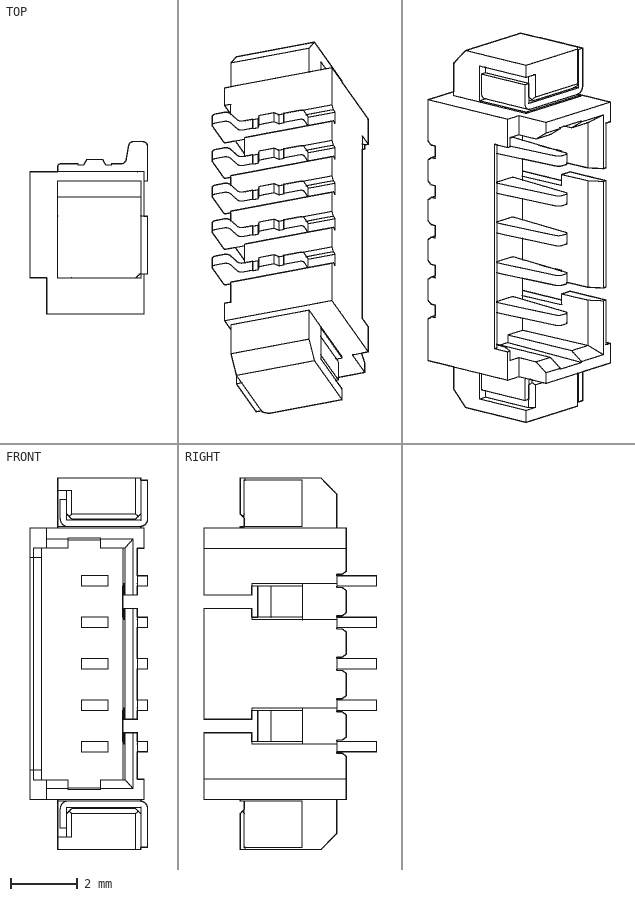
import cadquery as cq


pin_count = 5
pitch = 1.25
pin_thick = 0.32
pin_tip_y = 0.53
pin_tip_radius = 0.15
pin_taper_y = 2.70
pin_left, pin_right = 1.56, 2.36
pin_tip_left, pin_tip_right = 1.70, 2.16
tail_left, tail_right = 0.84, 3.56
tail_y, foot_y = 4.01, 5.21
tail_flat_y, tail_dip_y, tail_bump_y = 4.54, 4.505, 4.67
tail_end_radius = 0.10
bump_center = 1.96
bump_top_half, bump_base_half, dip_outer_half = 0.24, 0.335, 0.50
foot_root_x, foot_tip_x = 2.91, 3.00
foot_root_radius, foot_tip_radius = 0.15, 0.16

end_margin = 1.60
half_height = pitch * (pin_count - 1) / 2 + end_margin
back_y = 4.30
rail_right, wall_right = 3.45, 3.25
rail_z = 3.48
shelf_x, shelf_y = 0.51, 1.095
left_front_y, left_front_z = 1.62, 3.21

floor_y = 2.97
cavity_left, cavity_right_floor, cavity_right_mouth = 0.35, 2.81, 2.875
cavity_half = 3.50
lead_depth = 0.40
lead_right, lead_half = 3.12, 3.765
lip_thick = 0.11
lip_depth = 0.4
key_left, key_right = 1.16, 2.13
key_half_mouth, key_half_floor = 3.795, 3.74

window_z = 1.5 * pitch
slot_width, pocket_width = 0.40, 1.08
pocket_y = 1.45
notch_half, notch_mouth_half, notch_flare = 0.195, 0.29, 0.13

pad_height = 0.04
ear_left, ear_right = 0.84, 3.35
ear_back, ear_top = 4.01, 5.61
ear_chamfer_y, ear_chamfer_z = 0.48, 0.49
core_left, core_bottom = 1.11, 4.365
core_corner = 0.16
core_bevel, core_bevel_depth = 0.155, 0.14
recess_top = 5.23
clip_left, clip_right = 0.92, tail_right
clip_bottom, clip_inner_bottom = half_height + pad_height, 4.335
clip_front, clip_back = 1.21, 2.96
clip_left_top, clip_right_top = 4.96, 5.54
clip_radius = 0.235


def box(x0, x1, y0, y1, z0, z1):
    return cq.Workplane("XY").box(x1 - x0, y1 - y0, z1 - z0, centered=False).translate((x0, y0, z0))


def symmetric_box(x0, x1, y0, y1, half):
    return box(x0, x1, y0, y1, -half, half)


def prism_z(points, half):
    """Extrude an XY outline symmetrically about Z = 0."""
    return cq.Workplane("XY").polyline(points).close().extrude(half, both=True)


def prism_x(points, x0, x1):
    """Extrude a YZ outline from x0 to x1."""
    return cq.Workplane("YZ").polyline(points).close().extrude(x1 - x0).translate((x0, 0, 0))


def mirrored(shape):
    return shape.union(shape.mirror("XY"))


def lip_bevel(front_y, half):
    """Cutter bevelling the inner front edge of the left wall."""
    return (
        cq.Workplane("XY")
        .moveTo(lip_thick, front_y)
        .lineTo(cavity_left, front_y)
        .lineTo(cavity_left, front_y + lip_depth)
        .close()
        .extrude(half, both=True)
    )


def cavity():
    """Tapered mating cavity with a lead-in at its mouth and a keyway in each end wall."""
    main = prism_z(
        [
            (cavity_left, 0),
            (cavity_right_mouth, 0),
            (cavity_right_mouth, lead_depth),
            (cavity_right_floor, floor_y),
            (cavity_left, floor_y),
        ],
        cavity_half,
    )
    lead_in = (
        cq.Workplane("XZ")
        .polyline([(0, -lead_half), (lead_right, -lead_half), (lead_right, lead_half), (0, lead_half)])
        .close()
        .workplane(offset=-lead_depth)
        .polyline(
            [
                (0, -cavity_half),
                (cavity_right_mouth, -cavity_half),
                (cavity_right_mouth, cavity_half),
                (0, cavity_half),
            ]
        )
        .close()
        .loft(ruled=True)
    )
    keyway = prism_x(
        [
            (0, -key_half_mouth),
            (floor_y, -key_half_floor),
            (floor_y, key_half_floor),
            (0, key_half_mouth),
        ],
        key_left,
        key_right,
    )
    return main.union(lead_in).union(keyway)


def back_notch(z):
    """Flared groove across the back face for one contact tail."""
    return prism_x(
        [
            (tail_y, z - notch_half),
            (back_y - notch_flare, z - notch_half),
            (back_y, z - notch_mouth_half),
            (back_y, z + notch_mouth_half),
            (back_y - notch_flare, z + notch_half),
            (tail_y, z + notch_half),
        ],
        0,
        rail_right,
    )


def housing():
    body = symmetric_box(0, rail_right, 0, back_y, half_height)
    body = body.cut(symmetric_box(wall_right, rail_right, 0, back_y, rail_z))
    body = body.cut(symmetric_box(0, shelf_x, 0, shelf_y, half_height))
    body = body.cut(symmetric_box(0, cavity_left, 0, left_front_y, left_front_z))
    body = body.cut(cavity())
    body = body.cut(lip_bevel(shelf_y, cavity_half))
    body = body.cut(lip_bevel(left_front_y, left_front_z))
    for z in (-window_z, window_z):
        slot_half, pocket_half = slot_width / 2, pocket_width / 2
        body = body.cut(box(cavity_right_floor, rail_right, 0, back_y, z - slot_half, z + slot_half))
        body = body.cut(
            box(cavity_right_floor, rail_right, pocket_y, back_y, z - pocket_half, z + pocket_half)
        )
    return body


def contact(z):
    """Tapered blade inside the cavity joined to a bent tail and solder foot behind it."""
    blade = (
        cq.Workplane("XY")
        .moveTo(pin_left, back_y)
        .lineTo(pin_left, pin_taper_y)
        .lineTo(pin_tip_left, pin_tip_y + pin_tip_radius)
        .radiusArc((pin_tip_left + pin_tip_radius, pin_tip_y), -pin_tip_radius)
        .lineTo(pin_tip_right - pin_tip_radius, pin_tip_y)
        .radiusArc((pin_tip_right, pin_tip_y + pin_tip_radius), -pin_tip_radius)
        .lineTo(pin_right, floor_y)
        .lineTo(pin_right, back_y)
        .close()
        .extrude(pin_thick)
    )
    bump = [(-dip_outer_half, tail_flat_y), (-dip_outer_half, tail_dip_y), (-bump_base_half, tail_dip_y)]
    bump += [(-bump_top_half, tail_bump_y), (bump_top_half, tail_bump_y)]
    bump += [(bump_base_half, tail_dip_y), (dip_outer_half, tail_dip_y), (dip_outer_half, tail_flat_y)]
    tail = (
        cq.Workplane("XY")
        .moveTo(tail_left, tail_y)
        .lineTo(tail_left, tail_flat_y)
        .polyline([(bump_center + x, y) for x, y in bump], includeCurrent=True)
        .lineTo(foot_root_x - foot_root_radius, tail_flat_y)
        .radiusArc((foot_root_x, tail_flat_y + foot_root_radius), -foot_root_radius)
        .lineTo(foot_tip_x, foot_y)
        .lineTo(tail_right, foot_y)
        .lineTo(tail_right, tail_y)
        .close()
        .extrude(pin_thick)
    )
    tail = tail.edges("|Z and >Y").fillet(foot_tip_radius)
    tail = tail.edges("|Z and <X").fillet(tail_end_radius)
    return blade.union(tail).translate((0, 0, z - pin_thick / 2))


def side_bevel(edge_x, inset, top):
    """Cutter bevelling an upright front edge of the ear, inset along X from edge_x."""
    return (
        cq.Workplane("XY", origin=(0, 0, core_bottom))
        .polyline([(edge_x, shelf_y), (edge_x + inset, shelf_y), (edge_x, shelf_y + core_bevel_depth)])
        .close()
        .extrude(top - core_bottom)
    )


def core():
    """Front block of an ear that the clip wraps around, with its left and bottom front edges bevelled."""
    block = box(core_left, ear_right, shelf_y, clip_back, core_bottom, recess_top)
    block = block.edges("|Y and <Z").chamfer(core_corner)
    bevel_y = shelf_y + core_bevel_depth
    bottom_bevel = prism_x(
        [(shelf_y, core_bottom), (shelf_y, core_bottom + core_bevel), (bevel_y, core_bottom)],
        core_left,
        ear_right,
    )
    left_bevel = side_bevel(core_left, core_bevel, recess_top)
    return block.cut(bottom_bevel).cut(left_bevel)


def ear():
    """Upper mounting ear: core, bridge behind the clip and a thin pad under the clip."""
    profile = [
        (shelf_y, recess_top),
        (clip_back, recess_top),
        (clip_back, half_height),
        (ear_back, half_height),
        (ear_back, ear_top - ear_chamfer_z),
        (ear_back - ear_chamfer_y, ear_top),
        (shelf_y, ear_top),
    ]
    block = prism_x(profile, ear_left, ear_right).union(core())
    right_bevel = side_bevel(ear_right, -core_bevel, ear_top)
    pad = box(ear_left, ear_right, shelf_y, ear_back, half_height, clip_bottom)
    return block.cut(right_bevel).union(pad)


def clip():
    """Bent solder clip wrapped around three sides of the upper ear core."""
    outer = box(clip_left, clip_right, clip_front, clip_back, clip_bottom, clip_right_top)
    outer = outer.edges("|Y and <Z").fillet(clip_radius)
    inner = box(core_left, ear_right, clip_front, clip_back, clip_inner_bottom, clip_right_top)
    trim = box(clip_left, core_left, clip_front, clip_back, clip_left_top, clip_right_top)
    return outer.cut(inner).cut(trim)


result = housing().union(mirrored(ear().union(clip())))
for index in range(pin_count):
    pin_z = (index - (pin_count - 1) / 2) * pitch
    result = result.cut(back_notch(pin_z)).union(contact(pin_z))